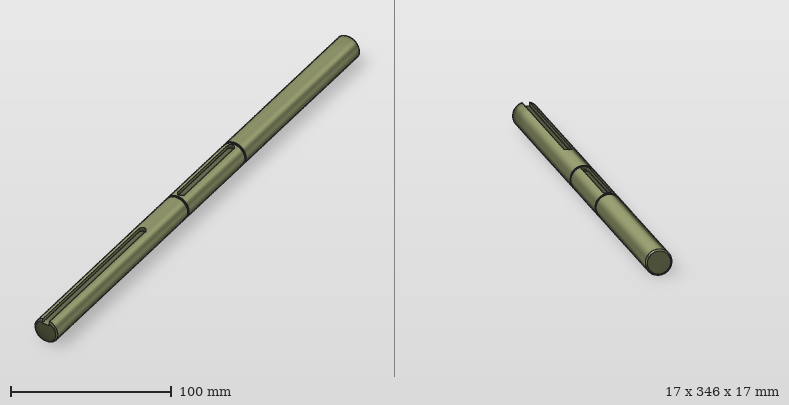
import cadquery as cq

shaft_diameter = 17.0
shaft_length = 346.0
end_chamfer = 1.0

groove_diameter = 16.2
groove_width = 1.1
front_groove_start = 149.7
groove_spacing = 65.1

key_width = 5.0
key_depth = 3.0
end_keyway_length = 112.5
middle_keyway_start = 152.3
middle_keyway_length = 61.0

shaft_radius = shaft_diameter / 2
key_floor = shaft_radius - key_depth
middle_keyway_center = middle_keyway_start + middle_keyway_length / 2


def cylinder_along_y(diameter, start, length):
    """Solid cylinder on the shaft axis, running from start towards +Y."""
    plane = cq.Plane(origin=(0, start, 0), xDir=(1, 0, 0), normal=(0, 1, 0))
    return cq.Workplane(plane).circle(diameter / 2).extrude(length)


def ring_groove(start):
    """Ring of material removed for one retaining ring."""
    blank = cylinder_along_y(shaft_diameter, start, groove_width)
    return blank.cut(cylinder_along_y(groove_diameter, start, groove_width))


def keyway(center, length):
    """Round-ended keyway, open upwards."""
    return (
        cq.Workplane("XY", origin=(0, center, key_floor))
        .slot2D(length, key_width, 90)
        .extrude(key_depth)
    )


shaft = cylinder_along_y(shaft_diameter, 0, shaft_length)
shaft = shaft.faces("<Y or >Y").chamfer(end_chamfer)

for groove_start in (front_groove_start, front_groove_start + groove_spacing):
    shaft = shaft.cut(ring_groove(groove_start))

shaft = shaft.cut(keyway(0, 2 * end_keyway_length))
shaft = shaft.cut(keyway(middle_keyway_center, middle_keyway_length))

result = shaft